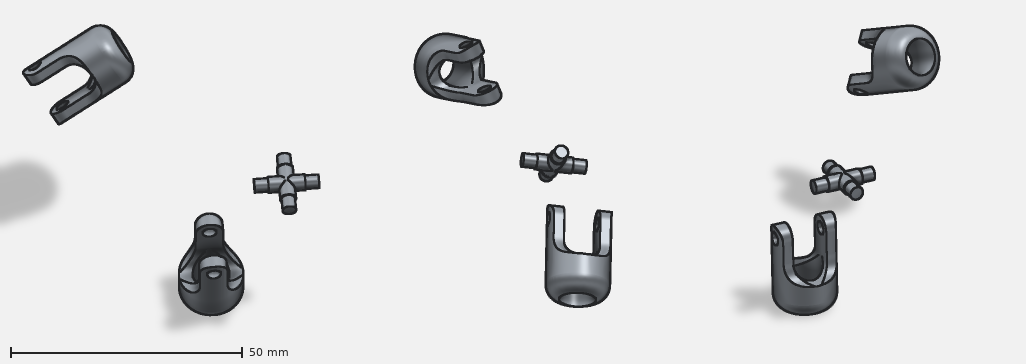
import cadquery as cq
import math

body_diameter = 14.0
bore_diameter = 8.0
rim_radius = 3.5
ear_gap = 8.0
ear_width = 6.0
ear_tip_radius = ear_width / 2
pin_hole_diameter = 3.0
pin_to_base = 18.0
slot_depth = 10.0
shoulder_radius = 4.75

journal_diameter = 3.0
journal_span = 14.0
hub_diameter = 3.5
hub_span = 8.0

lower_yoke_centre = (17.64, -2.47, -7.53)
lower_yoke_turns = (0.0, 1.2, -29.35)
upper_yoke_centre = (-24.55, -15.21, 12.27)
upper_yoke_turns = (125.5, 45.25, 15.75)
cross_centre = (24.36, 12.66, 12.27)
cross_turns = (0.0, 1.2, -29.35)


def place(body, centre, turns):
    """Turn a body about the X, Y and Z axes in that order, then move it to its centre."""
    turn_x, turn_y, turn_z = turns
    origin = (0, 0, 0)
    body = body.rotate(origin, (1, 0, 0), turn_x)
    body = body.rotate(origin, (0, 1, 0), turn_y)
    body = body.rotate(origin, (0, 0, 1), turn_z)
    return body.translate(centre)


def cup():
    """Round body with a rounded base rim and a bore through it."""
    height = pin_to_base + ear_tip_radius
    base = cq.Workplane("XY").workplane(offset=-pin_to_base)
    body = base.circle(body_diameter / 2).extrude(height)
    body = body.faces("<Z").edges().fillet(rim_radius)
    bore = cq.Workplane("XY").workplane(offset=-pin_to_base).circle(bore_diameter / 2).extrude(height)
    return body.cut(bore)


def ear_slot():
    """Round-bottomed slot that parts the two ears."""
    radius = ear_gap / 2
    round_centre = radius - slot_depth
    return (
        cq.Workplane("XZ")
        .moveTo(-radius, body_diameter)
        .lineTo(-radius, round_centre)
        .threePointArc((0, -slot_depth), (radius, round_centre))
        .lineTo(radius, body_diameter)
        .close()
        .extrude(body_diameter, both=True)
    )


def ear_profile():
    """Side outline of the ears: round tips, straight sides and concave shoulders down to the cup."""
    half = ear_width / 2
    shoulder_z = shoulder_radius - slot_depth
    shoulder_y = half + shoulder_radius
    mid_arc_offset = shoulder_radius * math.cos(math.radians(45))
    mid_arc_y = shoulder_y - mid_arc_offset
    mid_arc_z = shoulder_z - mid_arc_offset
    return (
        cq.Workplane("YZ")
        .moveTo(-half, 0)
        .threePointArc((0, ear_tip_radius), (half, 0))
        .lineTo(half, shoulder_z)
        .threePointArc((mid_arc_y, mid_arc_z), (shoulder_y, -slot_depth))
        .lineTo(shoulder_y, -pin_to_base)
        .lineTo(-shoulder_y, -pin_to_base)
        .lineTo(-shoulder_y, -slot_depth)
        .threePointArc((-mid_arc_y, mid_arc_z), (-half, shoulder_z))
        .close()
        .extrude(body_diameter, both=True)
    )


def yoke():
    """Yoke with one pin hole through both ears."""
    pin_hole = cq.Workplane("YZ").circle(pin_hole_diameter / 2).extrude(body_diameter, both=True)
    return cup().cut(ear_slot()).intersect(ear_profile()).cut(pin_hole)


def rod(plane, diameter, span):
    """Round rod centred on the origin."""
    return cq.Workplane(plane).circle(diameter / 2).extrude(span / 2, both=True)


def cross():
    """Cross of two stepped pins, one along X and one along Y."""
    body = rod("YZ", hub_diameter, hub_span)
    body = body.union(rod("XZ", hub_diameter, hub_span))
    for plane in ("YZ", "XZ"):
        body = body.union(rod(plane, journal_diameter, journal_span))
    return body


lower_yoke = place(yoke(), lower_yoke_centre, lower_yoke_turns)
upper_yoke = place(yoke(), upper_yoke_centre, upper_yoke_turns)
joint_cross = place(cross(), cross_centre, cross_turns)

result = cq.Compound.makeCompound([lower_yoke.val(), upper_yoke.val(), joint_cross.val()])